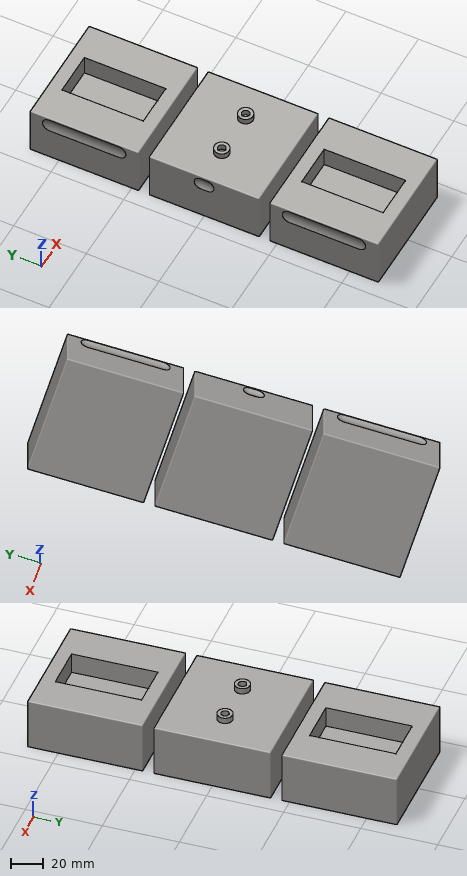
import cadquery as cq

block_width = 79.4
block_height = 35.0
tray_block_length = 75.0
boss_block_length = 76.0
row_length = 240.0
edge_radius = 0.8

pocket_width = 30.0
pocket_length = 56.0
pocket_depth = 14.0

tray_recess_height = 9.65
tray_recess_straight = 47.7
tray_recess_depth = 1.0
tray_recess_center_z = 28.9

boss_recess_height = 9.14
boss_recess_straight = 4.4
boss_recess_depth = 1.4
boss_recess_center_z = 28.5

boss_diameter = 10.0
boss_bore_diameter = 5.2
boss_height = 4.0
boss_spacing = 32.0

tray_block_offset = (row_length - tray_block_length) / 2


def rounded_block(length):
    """Block with its base centered on the origin and every edge rounded."""
    block = cq.Workplane("XY").box(block_width, length, block_height, centered=(True, True, False))
    return block.edges().fillet(edge_radius)


def grip_recess(mouth_height, straight_length, depth, center_z):
    """Cutter for a recess with a cylindrical floor and spherical ends, in the -X face."""
    floor_radius = ((mouth_height / 2) ** 2 + depth**2) / (2 * depth)
    axis_x = -block_width / 2 + depth - floor_radius
    cutter = (
        cq.Workplane("XZ", origin=(axis_x, straight_length / 2, center_z))
        .circle(floor_radius)
        .extrude(straight_length)
    )
    for side in (-1, 1):
        end_center = (axis_x, side * straight_length / 2, center_z)
        cutter = cutter.union(cq.Workplane("XY", origin=end_center).sphere(floor_radius))
    inside_face = cq.Workplane("XY").box(block_width, row_length, block_height, centered=(True, True, False))
    return cutter.intersect(inside_face)


def tray_block(y_center):
    """End block with an open pocket on top and a long grip recess."""
    pocket = (
        cq.Workplane("XY", origin=(0, 0, block_height))
        .rect(pocket_width, pocket_length)
        .extrude(-pocket_depth)
    )
    recess = grip_recess(tray_recess_height, tray_recess_straight, tray_recess_depth, tray_recess_center_z)
    block = rounded_block(tray_block_length).cut(pocket).cut(recess)
    return block.translate((0, y_center, 0))


def boss_block():
    """Middle block with two hollow bosses on top and a short grip recess."""
    recess = grip_recess(boss_recess_height, boss_recess_straight, boss_recess_depth, boss_recess_center_z)
    bosses = (
        cq.Workplane("XY", origin=(0, 0, block_height))
        .pushPoints([(-boss_spacing / 2, 0), (boss_spacing / 2, 0)])
        .circle(boss_diameter / 2)
        .circle(boss_bore_diameter / 2)
        .extrude(boss_height)
    )
    return rounded_block(boss_block_length).cut(recess).union(bosses)


tray_blocks = [tray_block(side * tray_block_offset) for side in (-1, 1)]
middle_block = boss_block()

bodies = [block.solids().val() for block in [*tray_blocks, middle_block]]
result = cq.Compound.makeCompound(bodies)